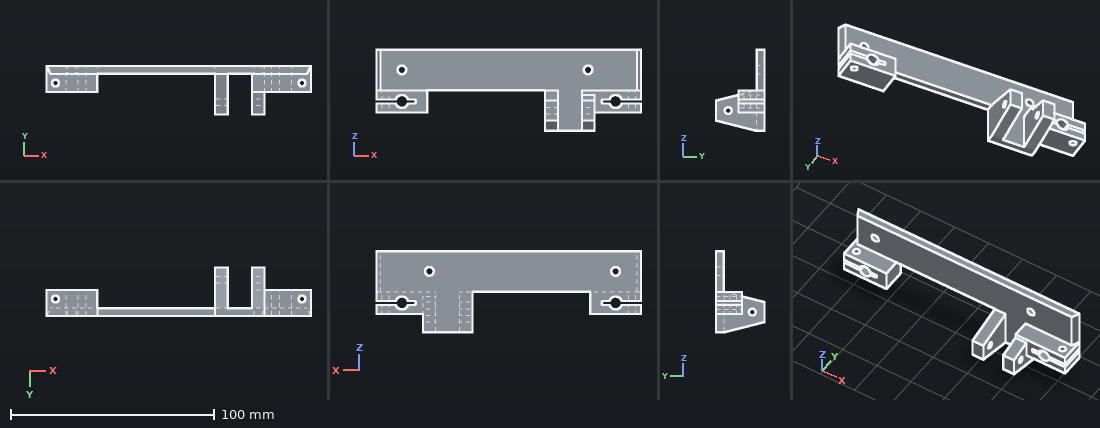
import cadquery as cq

length = 130.0
depth = 24.0
height = 40.0

plate_thickness = 4.0
plate_bottom = height / 2
end_bevel = 2.0
plate_hole_diameter = 4.2
plate_hole_xs = (12.5, 104.0)
plate_hole_z = height - 10.0

block_depth = 13.0
block_height = 11.0
left_block_length = 25.0
bore_diameter = 6.2
bore_inset = 12.5
slit_width = 2.0
slit_length = 19.4
screw_diameter = 3.2
screw_inset = 4.4
screw_y = -(plate_thickness + block_depth) / 2

lug_width = 6.4
lug_gap = 11.7
lugs_left = 82.8
right_lug_x = lugs_left + lug_width + lug_gap
lugs_right = right_lug_x + lug_width
lug_taper = 5.1
pin_diameter = 3.2
pin_y = -18.0
pin_z = plate_bottom / 2


def box(x_start, x_end, y_depth, z_bottom, z_top):
    """Block reaching forward (-Y) from the back face."""
    return cq.Workplane("XY").box(
        x_end - x_start, y_depth, z_top - z_bottom, centered=False
    ).translate((x_start, -y_depth, z_bottom))


def plate():
    outline = [
        (0, 0),
        (length, 0),
        (length - end_bevel, -plate_thickness),
        (end_bevel, -plate_thickness),
    ]
    body = cq.Workplane("XY").workplane(offset=plate_bottom).polyline(outline).close()
    body = body.extrude(height - plate_bottom)
    holes = (
        cq.Workplane("XZ")
        .pushPoints([(x, plate_hole_z) for x in plate_hole_xs])
        .circle(plate_hole_diameter / 2)
        .extrude(plate_thickness)
    )
    return body.cut(holes)


def clamp_block(block_length):
    """Clamp with its open end at X = 0."""
    bottom = plate_bottom - block_height
    middle = plate_bottom - block_height / 2
    block = box(0, block_length, block_depth, bottom, plate_bottom)
    bore = cq.Workplane("XZ").center(bore_inset, middle).circle(bore_diameter / 2).extrude(block_depth)
    round_center = slit_length - slit_width / 2
    slit = box(0, round_center, block_depth, middle - slit_width / 2, middle + slit_width / 2)
    slit_end = cq.Workplane("XZ").center(round_center, middle).circle(slit_width / 2).extrude(block_depth)
    screw = (
        cq.Workplane("XY")
        .workplane(offset=bottom)
        .center(screw_inset, screw_y)
        .circle(screw_diameter / 2)
        .extrude(block_height)
    )
    return block.cut(bore).cut(slit).cut(slit_end).cut(screw)


def lug(x_start):
    profile = [
        (0, 0),
        (-plate_thickness, 0),
        (-depth, lug_taper),
        (-depth, plate_bottom - lug_taper),
        (-plate_thickness, plate_bottom),
        (0, plate_bottom),
    ]
    body = cq.Workplane("YZ").polyline(profile).close().extrude(lug_width)
    pin_hole = cq.Workplane("YZ").center(pin_y, pin_z).circle(pin_diameter / 2).extrude(lug_width)
    return body.cut(pin_hole).translate((x_start, 0, 0))


left_clamp = clamp_block(left_block_length)
right_clamp = clamp_block(length - right_lug_x).mirror("YZ").translate((length, 0, 0))
web = box(lugs_left, lugs_right, plate_thickness, 0, plate_bottom)

result = plate().union(left_clamp).union(right_clamp).union(web)
for lug_x in (lugs_left, right_lug_x):
    result = result.union(lug(lug_x))